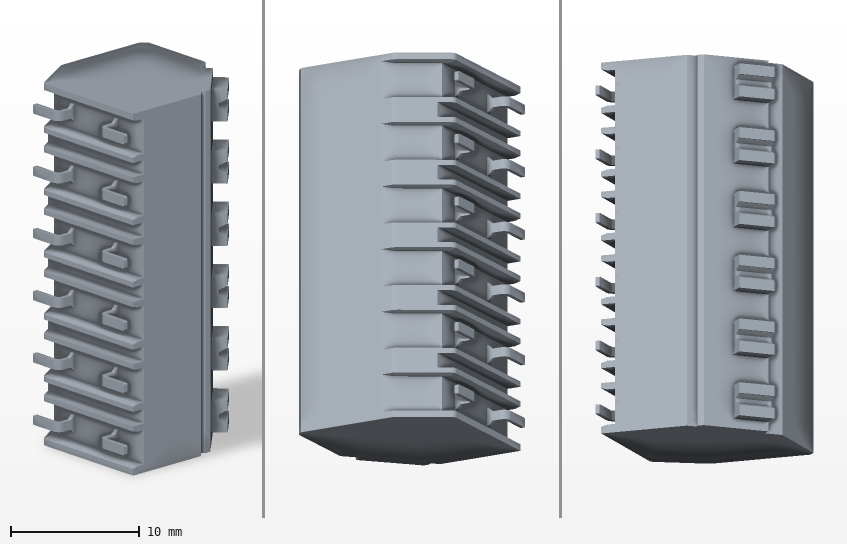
import cadquery as cq
import math

LENGTH = 29.6
WIDTH = 12.7
DEPTH = 12.88
BACK_CHAMFER = 0.47
SLANT_RUN = 2.37
SLANT_RISE = 4.08
SLANT_TOP_RADIUS = 0.9
SLANT_FOOT_RADIUS = 0.45
BEVEL_START_X = 7.0
BEVEL_END_Y = DEPTH - (WIDTH - BEVEL_START_X)

BAND_START = 1.48
BAND_END = 7.28
BAND_HEIGHT = 0.68
BAND_LIMIT_X = 12.37

POLES = 6
PITCH = 5.1
FIRST_POLE_Z = -PITCH * (POLES - 1) / 2

RECESS_DEPTH = 1.15
RECESS_HEIGHT = 2.8
LIP_RISE = 0.133
LIP_DEPTH = 0.5
GROOVE_HEIGHT = 1.18

PIN_THICKNESS = 0.35
PIN_WIDTH = 0.77
PIN_ROOT_WIDTH = 1.48
PIN_ROOT_Y = 1.05
PIN_NECK_Y = 0.68
PIN_DROP = 0.62
PIN_BEND_RADIUS = 0.6
PIN_TIP_RADIUS = 0.12
LEFT_LEG_X = 4.8
LEFT_TIP_X = 1.85
RIGHT_LEG_X = 9.47
RIGHT_TIP_X = 12.35

BUTTON_LENGTH = 3.0
BUTTON_HEIGHT = 1.25
BUTTON_WIDTH = 2.63
SLOT_WIDTH = 0.95
SLOT_WALL = 0.12
SLOT_DEPTH = 0.65
SLOT_FLOOR_WIDTH = 0.35

OVERRUN = 2.95
OVERLAP = 0.3

pole_heights = [FIRST_POLE_Z + PITCH * i for i in range(POLES)]
groove_heights = [z + PITCH / 2 for z in pole_heights[:-1]]


def prism(points, height):
    """Extrude an XY outline symmetrically about z = 0."""
    return cq.Workplane("XY").polyline(points).close().extrude(height / 2, both=True)


def slant_x(y):
    """X of the slanted housing face, extended if need be, at distance y from the pin side."""
    return SLANT_RUN * (1 - y / SLANT_RISE)


bevel_plane = cq.Plane(origin=(BEVEL_START_X, DEPTH, 0), xDir=(1, -1, 0), normal=(0, 0, 1))


def make_housing():
    outline = [
        (SLANT_RUN, 0),
        (WIDTH, 0),
        (WIDTH, BEVEL_END_Y),
        (BEVEL_START_X, DEPTH),
        (BACK_CHAMFER, DEPTH),
        (0, DEPTH - BACK_CHAMFER),
        (0, SLANT_RISE),
    ]
    housing = prism(outline, LENGTH)
    slant_top = cq.selectors.NearestToPointSelector((0, SLANT_RISE, 0))
    housing = housing.edges(slant_top).fillet(SLANT_TOP_RADIUS)
    slant_foot = cq.selectors.NearestToPointSelector((SLANT_RUN, 0, 0))
    housing = housing.edges(slant_foot).fillet(SLANT_FOOT_RADIUS)
    band = (
        cq.Workplane(bevel_plane)
        .moveTo((BAND_START + BAND_END) / 2, (BAND_HEIGHT - OVERLAP) / 2)
        .rect(BAND_END - BAND_START, BAND_HEIGHT + OVERLAP)
        .extrude(LENGTH / 2, both=True)
    )
    band_limit = cq.Workplane("XY").box(BAND_LIMIT_X, DEPTH, LENGTH, centered=(False, False, True))
    return housing.union(band.intersect(band_limit))


def make_lip():
    """Sharp-cornered housing outline whose edges taper inward over the lip rise, base at z = 0."""
    far_x = WIDTH + OVERRUN
    points = [(0, DEPTH), (0, SLANT_RISE), (SLANT_RUN, 0), (far_x, 0), (far_x, DEPTH)]
    taper = math.degrees(math.atan2(LIP_DEPTH, LIP_RISE))
    return cq.Workplane("XY").polyline(points).close().extrude(LIP_RISE, taper=taper)


def make_recess():
    """Cutter for one pole: follows the housing face at a set depth, with flared upper and lower walls."""
    floor_outline = [
        (WIDTH + OVERRUN, RECESS_DEPTH),
        (SLANT_RUN, RECESS_DEPTH),
        (slant_x(SLANT_RISE + OVERRUN), SLANT_RISE + RECESS_DEPTH + OVERRUN),
        (slant_x(SLANT_RISE + OVERRUN), -OVERRUN),
        (WIDTH + OVERRUN, -OVERRUN),
    ]
    mouth_height = RECESS_HEIGHT + 2 * LIP_RISE
    lower_lip = make_lip().translate((0, 0, -mouth_height / 2))
    upper_lip = lower_lip.mirror("XY")
    return prism(floor_outline, mouth_height).cut(lower_lip).cut(upper_lip)


def make_groove():
    return cq.Workplane("XY").box(3 * WIDTH, 2 * RECESS_DEPTH, GROOVE_HEIGHT)


def make_pin(leg_x, tip_x):
    """L-shaped pin: a leg with its far face at leg_x, bent into a foot that ends at tip_x."""
    side = math.copysign(1, tip_x - leg_x)
    top_y = RECESS_DEPTH + OVERLAP
    inner_radius = PIN_BEND_RADIUS - PIN_THICKNESS
    bend_x = leg_x + side * PIN_BEND_RADIUS
    bend_y = PIN_BEND_RADIUS - PIN_DROP
    diagonal = math.sqrt(0.5)
    inner_x = leg_x + side * PIN_THICKNESS
    pin = (
        cq.Workplane("XY")
        .moveTo(leg_x, top_y)
        .lineTo(leg_x, bend_y)
        .threePointArc(
            (bend_x - side * PIN_BEND_RADIUS * diagonal, bend_y - PIN_BEND_RADIUS * diagonal),
            (bend_x, -PIN_DROP),
        )
        .lineTo(tip_x, -PIN_DROP)
        .lineTo(tip_x, PIN_THICKNESS - PIN_DROP)
        .lineTo(bend_x, PIN_THICKNESS - PIN_DROP)
        .threePointArc(
            (bend_x - side * inner_radius * diagonal, bend_y - inner_radius * diagonal),
            (inner_x, bend_y),
        )
        .lineTo(inner_x, top_y)
        .close()
        .extrude(PIN_WIDTH / 2, both=True)
    )
    pin = pin.edges(">X and |Y" if side > 0 else "<X and |Y").fillet(PIN_TIP_RADIUS)
    half_root = PIN_ROOT_WIDTH / 2
    half_pin = PIN_WIDTH / 2
    root_outline = [
        (top_y, -half_root),
        (PIN_ROOT_Y, -half_root),
        (PIN_NECK_Y, -half_pin),
        (PIN_NECK_Y, half_pin),
        (PIN_ROOT_Y, half_root),
        (top_y, half_root),
    ]
    root = (
        cq.Workplane("YZ", origin=(min(leg_x, inner_x), 0, 0))
        .polyline(root_outline)
        .close()
        .extrude(PIN_THICKNESS)
    )
    return pin.union(root)


def make_button():
    """Block on the band, with a driver slot along its outer face."""
    top = BAND_HEIGHT + BUTTON_HEIGHT
    bottom = BAND_HEIGHT - OVERLAP
    half_slot = SLOT_WIDTH / 2
    half_floor = SLOT_FLOOR_WIDTH / 2
    section = [
        (-BUTTON_WIDTH / 2, bottom),
        (BUTTON_WIDTH / 2, bottom),
        (BUTTON_WIDTH / 2, top),
        (half_slot, top),
        (half_slot, top - SLOT_WALL),
        (half_floor, top - SLOT_DEPTH),
        (-half_floor, top - SLOT_DEPTH),
        (-half_slot, top - SLOT_WALL),
        (-half_slot, top),
        (-BUTTON_WIDTH / 2, top),
    ]
    start = bevel_plane.toWorldCoords((BAND_START, 0, 0))
    section_plane = cq.Plane(origin=start, xDir=(0, 0, -1), normal=(1, -1, 0))
    return cq.Workplane(section_plane).polyline(section).close().extrude(BUTTON_LENGTH)


result = make_housing()
recess = make_recess()
groove = make_groove()
left_pin = make_pin(LEFT_LEG_X, LEFT_TIP_X)
right_pin = make_pin(RIGHT_LEG_X, RIGHT_TIP_X)
button = make_button()

for z in pole_heights:
    result = result.cut(recess.translate((0, 0, z)))
for z in groove_heights:
    result = result.cut(groove.translate((0, 0, z)))
for z in pole_heights:
    for piece in (left_pin, right_pin, button):
        result = result.union(piece.translate((0, 0, z)))